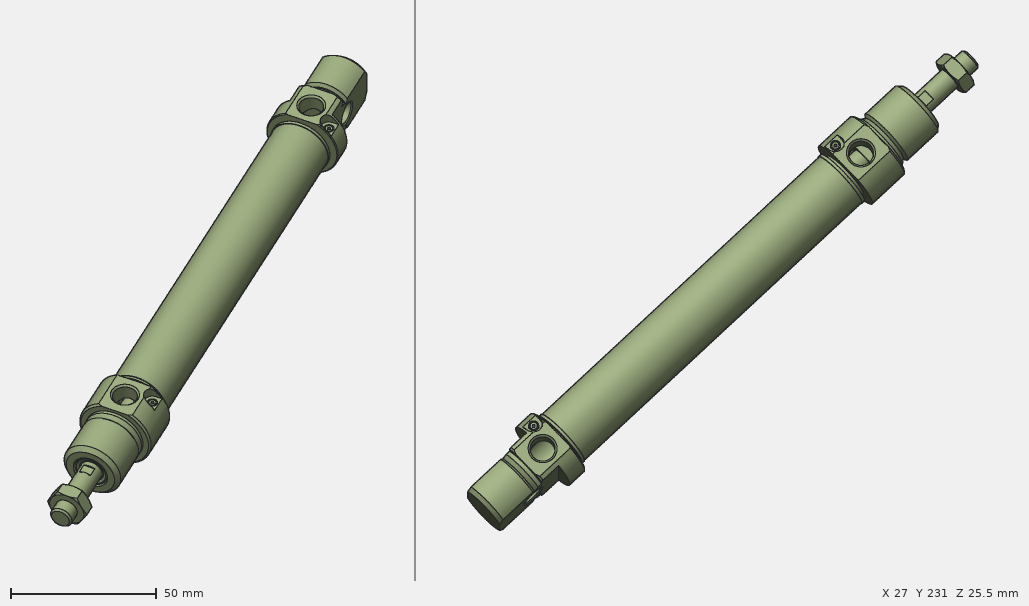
import cadquery as cq
import math


cap_d = 27.0
barrel_d = 21.5
neck_d = 17.8
bead_d = 22.0
undercut_d = 19.0
nose_face_d = 18.3
rod_d = 8.0

rear_end = 115.5
rod_tip = -115.5
rear_cap_back = 95.7
rear_cap_front = 80.2
barrel_back = 79.3
barrel_front = -54.5
front_cap_back = -56.0
front_cap_front = -71.7
nose_end = -91.3

cap_chamfer = 0.7
rear_cap_front_chamfer = 0.35
bead_length = 1.2
lug_chamfer = 1.6
nose_chamfer = (barrel_d - nose_face_d) / 2
undercut_slope = 1.6
undercut_wall = 1.0
nose_undercut_y = -74.5
lug_undercut_y = 99.0

lug_width = 16.0
lug_flat_front = 87.6
pivot_d = 8.0
pivot_y = 99.6
pivot_chamfer = 0.5

overall_height = 25.5
port_flat_z = overall_height - cap_d / 2
port_floor_z = 4.5
port_d = 8.5
port_mouth_d = 10.0
front_port_y = -63.3
rear_port_y = 87.6
cushion_bore_d = 12.0
front_bore_bottom = -64.5
front_bore_length = 8.8
rear_bore_start = 81.0
rear_bore_length = 12.7

screw_x = 8.5
screw_slot_d = 6.0
screw_floor_z = 8.0
screw_hole_d = 3.5
screw_hole_depth = 2.5
screw_d = 2.5
screw_socket_d = 1.0
screw_socket_depth = 1.0
front_screw_y = -59.5
rear_screw_y = 83.7

rod_inner_end = front_bore_bottom + front_bore_length
rod_chamfer = 0.7
wrench_width = 7.0
wrench_flat_back = -92.2
wrench_flat_length = 3.5
nut_width = 13.0
nut_thickness = 5.0
nut_front = -110.5
nut_chamfer_depth = 0.58

seal_d = 12.0
seal_pocket_depth = 2.8
pocket_chamfer = 0.5
seal_setback = pocket_chamfer
seal_rim_d = 11.0
seal_throat_d = 9.0
seal_dish_depth = 0.5


def cylinder_along_y(diameter, y_start, length):
    """Cylinder on the rod axis from y_start toward +Y."""
    return cq.Workplane("XZ", origin=(0, y_start, 0)).circle(diameter / 2).extrude(-length)


def cylinder_along_z(diameter, x, y, z_start, height):
    """Upright cylinder rising from z_start."""
    return cq.Workplane("XY", origin=(x, y, z_start)).circle(diameter / 2).extrude(height)


def turned_housing():
    """Nose, caps, barrel and lug as one revolved outline."""
    cap_r = cap_d / 2
    barrel_r = barrel_d / 2
    neck_r = neck_d / 2
    undercut_r = undercut_d / 2
    bead_r = bead_d / 2
    outline = [
        (0, nose_end),
        (nose_face_d / 2, nose_end),
        (barrel_r, nose_end + nose_chamfer),
        (barrel_r, nose_undercut_y - undercut_wall),
        (undercut_r, nose_undercut_y),
        (barrel_r, nose_undercut_y + undercut_slope),
        (barrel_r, front_cap_front),
        (cap_r - cap_chamfer, front_cap_front),
        (cap_r, front_cap_front + cap_chamfer),
        (cap_r, front_cap_back),
        (neck_r, front_cap_back),
        (neck_r, barrel_front),
        (bead_r, barrel_front),
        (bead_r, barrel_front + bead_length),
        (barrel_r, barrel_front + bead_length),
        (barrel_r, barrel_back - bead_length),
        (bead_r, barrel_back - bead_length),
        (bead_r, barrel_back),
        (neck_r, barrel_back),
        (neck_r, rear_cap_front),
        (cap_r - rear_cap_front_chamfer, rear_cap_front),
        (cap_r, rear_cap_front + rear_cap_front_chamfer),
        (cap_r, rear_cap_back - cap_chamfer),
        (cap_r - cap_chamfer, rear_cap_back),
        (barrel_r, rear_cap_back),
        (barrel_r, lug_undercut_y - undercut_slope),
        (undercut_r, lug_undercut_y),
        (barrel_r, lug_undercut_y + undercut_wall),
        (barrel_r, rear_end - lug_chamfer),
        (barrel_r - lug_chamfer, rear_end),
        (0, rear_end),
    ]
    return cq.Workplane("XY").polyline(outline).close().revolve(360, (0, 0), (0, 1))


def box_from(corner, size):
    """Box with its lowest X, Y and Z at corner."""
    return cq.Workplane("XY").box(*size, centered=False).translate(corner)


def cut_lug(housing):
    """Two side flats, and a cross hole chamfered where it opens in each of them."""
    half_width = lug_width / 2
    side_size = (cap_d, rear_end - lug_flat_front, 2 * cap_d)
    housing = housing.cut(box_from((half_width, lug_flat_front, -cap_d), side_size))
    housing = housing.cut(box_from((-half_width - cap_d, lug_flat_front, -cap_d), side_size))
    hole_outline = [
        (0, 0),
        (pivot_d / 2, 0),
        (pivot_d / 2, half_width - pivot_chamfer),
        (pivot_d / 2 + pivot_chamfer, half_width),
        (0, half_width),
    ]
    half_hole = cq.Workplane("XY").polyline(hole_outline).close().revolve(360, (0, 0), (0, 1))
    for turn in (-90, 90):
        turned = half_hole.rotate((0, 0, 0), (0, 0, 1), turn)
        housing = housing.cut(turned.translate((0, pivot_y, 0)))
    return housing


def port_cut(y):
    """Air port with a flat floor just above the rod and a 45 degree mouth."""
    mouth_depth = (port_mouth_d - port_d) / 2
    mouth_base = cq.Vector(0, y, port_flat_z - mouth_depth)
    mouth = cq.Solid.makeCone(port_d / 2, port_mouth_d / 2, mouth_depth, pnt=mouth_base)
    return cylinder_along_z(port_d, 0, y, port_floor_z, port_flat_z - port_floor_z).union(cq.Workplane(mouth))


def screw_slot(y):
    """Slot open toward +X with a round inner end, and the screw hole in its floor."""
    round_end = cylinder_along_z(screw_slot_d, screw_x, y, screw_floor_z, cap_d)
    run_out = box_from((screw_x, y - screw_slot_d / 2, screw_floor_z), (cap_d, screw_slot_d, cap_d))
    hole = cylinder_along_z(screw_hole_d, screw_x, y, screw_floor_z - screw_hole_depth, screw_hole_depth)
    return round_end.union(run_out).union(hole)


def cushion_screw(y):
    """Screw stem flush with the slot floor, with a round socket."""
    bottom = screw_floor_z - screw_hole_depth
    socket_bottom = screw_floor_z - screw_socket_depth
    stem = cylinder_along_z(screw_d, screw_x, y, bottom, screw_hole_depth)
    return stem.cut(cylinder_along_z(screw_socket_d, screw_x, y, socket_bottom, screw_socket_depth))


def seal_pocket():
    """Round pocket in the nose face with a 45 degree mouth."""
    mouth = cq.Solid.makeCone(
        seal_d / 2 + pocket_chamfer,
        seal_d / 2,
        pocket_chamfer,
        pnt=cq.Vector(0, nose_end, 0),
        dir=cq.Vector(0, 1, 0),
    )
    return cylinder_along_y(seal_d, nose_end, seal_pocket_depth).union(cq.Workplane(mouth))


def make_housing():
    housing = cut_lug(turned_housing())
    for front, back in ((front_cap_front, front_cap_back), (rear_cap_front, rear_cap_back)):
        above_flat = box_from((-cap_d / 2, front, port_flat_z), (cap_d, back - front, cap_d))
        housing = housing.cut(above_flat)
    housing = housing.cut(cylinder_along_y(cushion_bore_d, front_bore_bottom, front_bore_length))
    housing = housing.cut(cylinder_along_y(cushion_bore_d, rear_bore_start, rear_bore_length))
    for y in (front_port_y, rear_port_y):
        housing = housing.cut(port_cut(y))
    for y in (front_screw_y, rear_screw_y):
        housing = housing.cut(screw_slot(y)).union(cushion_screw(y))
    housing = housing.cut(cylinder_along_y(rod_d, nose_end, rod_inner_end - nose_end))
    return housing.cut(seal_pocket())


def make_rod():
    rod = cylinder_along_y(rod_d, rod_tip, rod_inner_end - rod_tip)
    rod = rod.faces("<Y").chamfer(rod_chamfer)
    flat_size = (rod_d, wrench_flat_length, rod_d)
    for bottom in (wrench_width / 2, -wrench_width / 2 - rod_d):
        corner = (-rod_d / 2, wrench_flat_back - wrench_flat_length, bottom)
        rod = rod.cut(box_from(corner, flat_size))
    return rod


def make_nut():
    """Hexagon nut with two corners on X and both faces chamfered at the corners."""
    corner_d = nut_width / math.cos(math.radians(30))
    hexagon = cq.Workplane("XZ", origin=(0, nut_front, 0)).polygon(6, corner_d).extrude(-nut_thickness)
    chamfered_round = [
        (0, nut_front),
        (nut_width / 2, nut_front),
        (corner_d / 2, nut_front + nut_chamfer_depth),
        (corner_d / 2, nut_front + nut_thickness - nut_chamfer_depth),
        (nut_width / 2, nut_front + nut_thickness),
        (0, nut_front + nut_thickness),
    ]
    rounding = cq.Workplane("XY").polyline(chamfered_round).close().revolve(360, (0, 0), (0, 1))
    return hexagon.intersect(rounding).cut(cylinder_along_y(rod_d, nut_front, nut_thickness))


def make_seal():
    """Rod seal ring with a cone-shaped dish in its outer face."""
    face_y = nose_end + seal_setback
    back_y = nose_end + seal_pocket_depth
    section = [
        (rod_d / 2, face_y + seal_dish_depth),
        (seal_throat_d / 2, face_y + seal_dish_depth),
        (seal_rim_d / 2, face_y),
        (seal_d / 2, face_y),
        (seal_d / 2, back_y),
        (rod_d / 2, back_y),
    ]
    return cq.Workplane("XY").polyline(section).close().revolve(360, (0, 0), (0, 1))


housing = make_housing()
rod = make_rod()
nut = make_nut()
seal = make_seal()

result = cq.Compound.makeCompound([housing.val(), rod.val(), nut.val(), seal.val()])